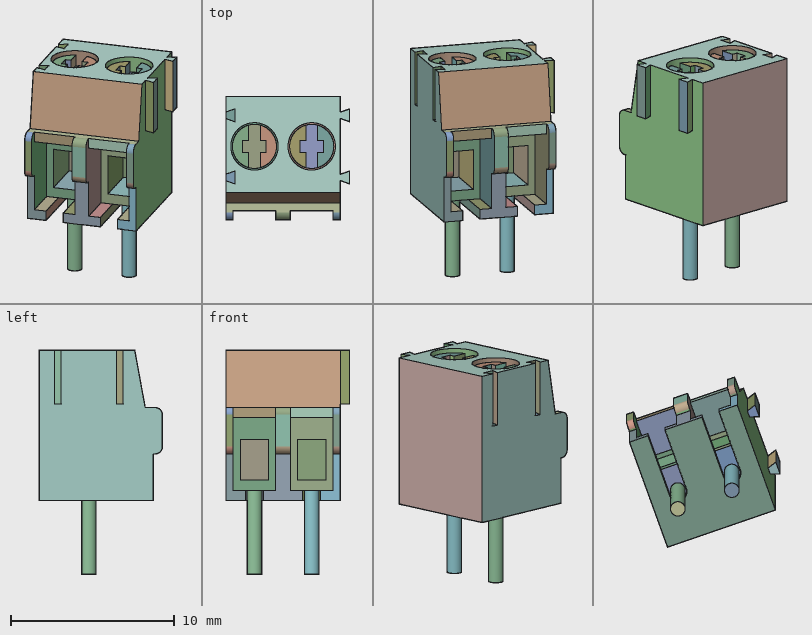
import cadquery as cq


pole_count = 2
pitch = 3.5
width = pole_count * pitch
total_depth = 7.55
nose_length = 0.55
nose_radius = 0.45
body_depth = total_depth - nose_length
height = 9.2
nose_bottom = 2.85
nose_top = 5.7
slope_top_depth = 5.86
slope_bottom_depth = 6.5

entry_width = 2.6
floor_thickness = 0.62
lintel_height = 0.63
clamp_front_depth = 4.6
wire_hole_width = 1.72
wire_hole_height = 2.5
wire_hole_sill = 0.63
wire_hole_bottom = floor_thickness + wire_hole_sill
wire_hole_length = 3.0

screw_depth = 3.05
screw_diameter = 2.7
screw_bore_diameter = 2.9
screw_recess = 0.25
screw_gap_depth = 1.0
drive_width = 0.72
drive_short_length = 1.44
drive_depth = 0.7

pin_diameter = 0.9
pin_length = 4.5
floor_slot_width = 1.1

dovetail_length = 0.57
dovetail_wide = 0.8
dovetail_narrow = 0.4
dovetail_height = 3.3
dovetail_depths = (1.15, 4.95)

back_y = total_depth
screw_y = back_y - screw_depth
pole_centres = [(index + 0.5) * pitch for index in range(pole_count)]


def box(x_centre, y_start, z_start, x_size, y_size, z_size):
    """Box centred across X, starting at the given Y and Z."""
    return (
        cq.Workplane("XY")
        .box(x_size, y_size, z_size, centered=(True, False, False))
        .translate((x_centre, y_start, z_start))
    )


def cylinder(x, y, z_start, diameter, length):
    return cq.Workplane("XY").circle(diameter / 2).extrude(length).translate((x, y, z_start))


def housing():
    """Side profile with a sloped upper front and a rounded nose."""
    nose_front_y = back_y - total_depth
    body_front_y = back_y - body_depth
    outline = [
        (back_y, 0),
        (back_y, height),
        (back_y - slope_top_depth, height),
        (back_y - slope_bottom_depth, nose_top),
        (nose_front_y, nose_top),
        (nose_front_y, nose_bottom),
        (body_front_y, nose_bottom),
        (body_front_y, 0),
    ]
    block = cq.Workplane("YZ").polyline(outline).close().extrude(width)
    return block.edges("|X and <Y").fillet(nose_radius)


def wire_entry(x):
    """Space in front of the clamp, open above and in front of the lintel, with the wire hole."""
    lintel_bottom = nose_top - lintel_height
    clamp_y = back_y - clamp_front_depth
    chamber = box(x, 0, floor_thickness, entry_width, clamp_y, lintel_bottom - floor_thickness)
    notch = box(x, 0, floor_thickness, entry_width, nose_length, nose_top - floor_thickness)
    hole = box(x, clamp_y, wire_hole_bottom, wire_hole_width, wire_hole_length, wire_hole_height)
    return chamber.union(notch).union(hole)


def floor_slot(x):
    """Round-ended slot through the floor, from the front to the pin."""
    straight = box(x, 0, 0, floor_slot_width, screw_y, floor_thickness)
    return straight.union(cylinder(x, screw_y, 0, floor_slot_width, floor_thickness))


def screw_cavity(x):
    """Recess over the screw head, the gap around it and its cross-shaped drive."""
    head_top = height - screw_recess
    recess = cylinder(x, screw_y, head_top, screw_bore_diameter, screw_recess)
    gap_bottom = head_top - screw_gap_depth
    gap = cylinder(x, screw_y, gap_bottom, screw_bore_diameter, screw_gap_depth)
    gap = gap.cut(cylinder(x, screw_y, gap_bottom, screw_diameter, screw_gap_depth))
    drive_bottom = head_top - drive_depth
    long_start = screw_y - screw_diameter / 2
    long_slot = box(x, long_start, drive_bottom, drive_width, screw_diameter, drive_depth)
    short_start = screw_y - drive_width / 2
    short_slot = box(x, short_start, drive_bottom, drive_short_length, drive_width, drive_depth)
    head = cylinder(x, screw_y, drive_bottom, screw_diameter, drive_depth)
    return recess.union(gap).union(long_slot.union(short_slot).intersect(head))


def dovetail(x, y):
    """Vertical dovetail, narrow at x and widening towards +X."""
    outline = [
        (x, y - dovetail_narrow / 2),
        (x + dovetail_length, y - dovetail_wide / 2),
        (x + dovetail_length, y + dovetail_wide / 2),
        (x, y + dovetail_narrow / 2),
    ]
    rail_bottom = height - dovetail_height
    rail = cq.Workplane("XY").polyline(outline).close().extrude(dovetail_height)
    return rail.translate((0, 0, rail_bottom))


result = housing()
for pole_x in pole_centres:
    result = result.cut(wire_entry(pole_x))
    result = result.cut(floor_slot(pole_x))
    result = result.cut(screw_cavity(pole_x))
    pin = cylinder(pole_x, screw_y, -pin_length, pin_diameter, pin_length + floor_thickness)
    result = result.union(pin)

for depth in dovetail_depths:
    dovetail_y = back_y - depth
    result = result.cut(dovetail(0, dovetail_y))
    result = result.union(dovetail(width, dovetail_y))